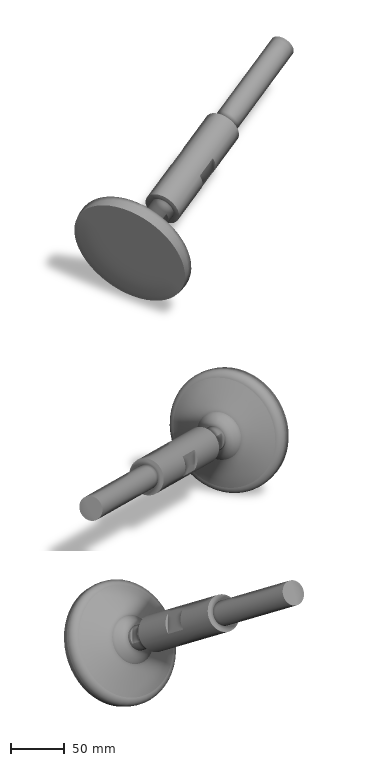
import cadquery as cq

total_length = 294.0
sole_y = -total_length / 2

foot_radius = 60.0
sole_radius = 59.0
taper_height = 6.2
rim_height = 8.8
shoulder_height = 16.2
shoulder_radius = 53.2
shoulder_mid_height = 13.8
shoulder_mid_radius = 58.0
cone_top_height = 27.3
cone_top_radius = 23.2
dome_top_height = 37.3
dome_mid_height = 33.2
dome_mid_radius = 18.0

rod_diameter = 24.0
rod_radius = rod_diameter / 2
rod_flat_start = 41.0
rod_flat_length = 12.3
rod_across_flats = 19.0

sleeve_diameter = 36.0
sleeve_start = 63.0
sleeve_length = 115.2
sleeve_flat_length = 25.0
sleeve_flat_start = sleeve_start + (sleeve_length - sleeve_flat_length) / 2
sleeve_across_flats = 30.0


def cylinder(diameter, start, length):
    """Cylinder along Y, beginning at a height above the sole."""
    plane = cq.Plane(origin=(0, sole_y + start, 0), xDir=(1, 0, 0), normal=(0, 1, 0))
    return cq.Workplane(plane).circle(diameter / 2).extrude(length)


def cut_wrench_flats(body, diameter, across_flats, start, length):
    """Cut two opposite flats facing -X and +X."""
    cut_depth = (diameter - across_flats) / 2
    for side in (-1, 1):
        center_x = side * (across_flats + cut_depth) / 2
        center_y = sole_y + start + length / 2
        cutter = cq.Workplane("XY").box(cut_depth, length, diameter).translate((center_x, center_y, 0))
        body = body.cut(cutter)
    return body


def make_foot_and_rod():
    """Revolve the foot and its rod about Y, then cut the rod's flats."""
    turned = (
        cq.Workplane("YZ", origin=(0, sole_y, 0))
        .moveTo(0, 0)
        .lineTo(0, sole_radius)
        .lineTo(taper_height, foot_radius)
        .lineTo(rim_height, foot_radius)
        .threePointArc((shoulder_mid_height, shoulder_mid_radius), (shoulder_height, shoulder_radius))
        .lineTo(cone_top_height, cone_top_radius)
        .threePointArc((dome_mid_height, dome_mid_radius), (dome_top_height, rod_radius))
        .lineTo(total_length, rod_radius)
        .lineTo(total_length, 0)
        .close()
        .revolve(360, (0, 0, 0), (1, 0, 0))
    )
    return cut_wrench_flats(turned, rod_diameter, rod_across_flats, rod_flat_start, rod_flat_length)


def make_sleeve():
    """Sleeve bored to fit the rod, with flats on its sides."""
    outer = cylinder(sleeve_diameter, sleeve_start, sleeve_length)
    bore = cylinder(rod_diameter, sleeve_start, sleeve_length)
    return cut_wrench_flats(
        outer.cut(bore), sleeve_diameter, sleeve_across_flats, sleeve_flat_start, sleeve_flat_length
    )


foot_and_rod = make_foot_and_rod()
sleeve = make_sleeve()

result = cq.Compound.makeCompound([foot_and_rod.val(), sleeve.val()])